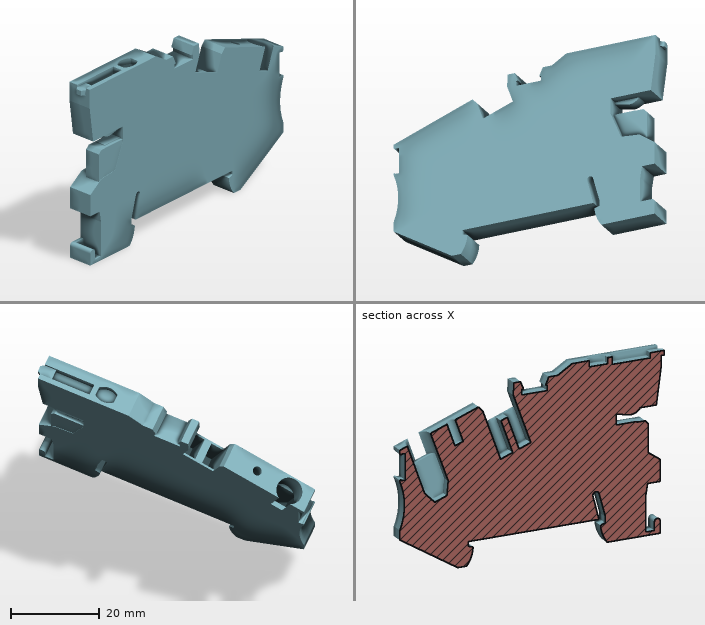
import cadquery as cq
import math


WIDTH = 6.15
LENGTH = 66.2
HEIGHT = 44.8
SLOPE_ANGLE = 20.0

FOOT_FRONT = 0.2
RELEASE_NOTCH_BACK = 3.85
TOE_HEIGHT = 3.8
TOE_RADIUS = 0.8
TOE_POCKET_WALL = 0.9
TOE_POCKET_DEPTH = 2.8
RAIL_SEAT = 5.88
HOOK_TIP = 4.45
HOOK_NECK = 4.85
ARM_BREAK = 40.05
ARM_UNDERSIDE = 31.2
RECESS_BACK = 11.35
RECESS_SILL = 27.43
SHOULDER = 42.55
GROOVE_LIP = 40.5
GROOVE_FLOOR = 39.3
GROOVE_FRONT = 28.95
GROOVE_BACK = 35.3
ENTRY_EDGE = 30.9
ENTRY_END = 46.25
BACK_NOTCH_FLOOR = 64.83
BACK_NOTCH_LOW = 23.5
BACK_NOTCH_HIGH = 29.8
GAP_FOOT_Y = 43.6
GAP_FOOT_Z = 32.8
GAP_LENGTH = 8.03
GAP_BACK_WALL = 4.4
GAP_FRONT_WALL = 4.3

WIRE_HOLE_RADIUS = 3.1
WIRE_HOLE_X = 0.35
WIRE_HOLE_DISTANCE = 5.16
WIRE_HOLE_DEPTH = 5.9
CHANNEL_WIDTH = 3.85
CHANNEL_DEPTH = 13.0
CHANNEL_TAPER_DEPTH = 3.2
CHANNEL_TAPER_INSET = 1.5
TESTER_RADIUS = 1.06
TESTER_DISTANCE = 13.83
POCKET_WIDTH = 5.2
POCKET_DEPTH = 8.7
POCKET_LENGTH = 3.15
POCKET_BRIDGE = 1.82

OVAL_X = 0.43
OVAL_Y = 15.85
OVAL_WIDTH = 3.75
OVAL_LENGTH = 4.6
OVAL_FLAT = 2.0
OVAL_DEPTH = 1.5
SLOT_LEFT = -0.72
SLOT_WIDTH = 2.63
SLOT_LENGTH = 12.3
SLOT_DEPTH = 1.84
PIN_WIDTH = 2.43
PIN_LENGTH = 2.85
PIN_REACH = 0.86
PIN_TIP_WIDTH = 1.31
PIN_DROP = 0.59

BLOCK_LEFT = -0.91
BLOCK_WIDTH = 3.9
BLOCK_FRONT = 3.25
BLOCK_BOTTOM = 19.0
BLOCK_TOP = 27.95
BLOCK_CHAMFER = 0.85
TONGUE_LEFT = -0.74
TONGUE_WIDTH = 2.9
TONGUE_FRONT = 5.3
TONGUE_ROOT_DROP = 0.6
TONGUE_DROP = 1.2
RIDGE_FRONT = 6.2
RIDGE_TOP = 28.12

SIN_SLOPE = math.sin(math.radians(SLOPE_ANGLE))
COS_SLOPE = math.cos(math.radians(SLOPE_ANGLE))


def box(x_min, x_size, y_min, y_max, z_min, z_max):
    size = (x_size, y_max - y_min, z_max - z_min)
    return cq.Workplane("XY").box(*size, centered=False).translate((x_min, y_min, z_min))


def slope_plane(y, z, x=0):
    """Plane parallel to the wire-entry face; its local y runs down the slope."""
    return cq.Workplane(cq.Plane((x, y, z), (1, 0, 0), (0, SIN_SLOPE, COS_SLOPE)))


def entry_plane(distance, x=0):
    """Slope plane centred at a distance from the back edge of the wire-entry face."""
    return slope_plane(LENGTH - distance * COS_SLOPE, ENTRY_EDGE + distance * SIN_SLOPE, x)


def housing():
    gap_top_y = GAP_FOOT_Y - GAP_LENGTH * COS_SLOPE
    gap_top_z = GAP_FOOT_Z + GAP_LENGTH * SIN_SLOPE
    entry_top = ENTRY_EDGE + (LENGTH - ENTRY_END) * math.tan(math.radians(SLOPE_ANGLE))
    outline = (
        cq.Workplane("YZ", origin=(-WIDTH / 2, 0, 0))
        .moveTo(0, HEIGHT)
        .lineTo(0, ARM_BREAK)
        .lineTo(1.18, ARM_UNDERSIDE)
        .lineTo(RECESS_BACK, ARM_UNDERSIDE)
        .lineTo(RECESS_BACK, RECESS_SILL)
        .lineTo(8.7, 21.05)
        .lineTo(4.1, 20.66)
        .lineTo(FOOT_FRONT, 17.95)
        .lineTo(FOOT_FRONT, 12.55)
        .lineTo(3.4, 12.55)
        .lineTo(RELEASE_NOTCH_BACK, 9.8)
        .lineTo(RELEASE_NOTCH_BACK, TOE_HEIGHT)
        .lineTo(FOOT_FRONT + TOE_RADIUS, TOE_HEIGHT)
        .radiusArc((FOOT_FRONT, TOE_HEIGHT - TOE_RADIUS), -TOE_RADIUS)
        .lineTo(FOOT_FRONT, 0)
        .lineTo(13.7, 0)
        .threePointArc((14.9, 2.1), (15.45, HOOK_TIP))
        .lineTo(14.2, HOOK_NECK)
        .lineTo(14.2, 6.35)
        .lineTo(15.8, 12.2)
        .threePointArc((16.55, 12.7), (17.26, 11.9))
        .lineTo(15.7, RAIL_SEAT)
        .lineTo(48.85, RAIL_SEAT)
        .lineTo(48.85, HOOK_NECK)
        .lineTo(47.55, HOOK_TIP)
        .threePointArc((48.05, 2.05), (49.25, 0))
        .lineTo(51.5, 0)
        .lineTo(LENGTH, 9.1)
        .lineTo(LENGTH, 11.5)
        .threePointArc((65.05, 17.3), (LENGTH, 23.2))
        .lineTo(LENGTH, 23.6)
        .lineTo(65.95, 23.75)
        .lineTo(65.7, BACK_NOTCH_LOW)
        .lineTo(BACK_NOTCH_FLOOR, BACK_NOTCH_LOW)
        .lineTo(BACK_NOTCH_FLOOR, BACK_NOTCH_HIGH)
        .lineTo(65.7, BACK_NOTCH_HIGH)
        .lineTo(65.85, 29.6)
        .lineTo(LENGTH, 30.0)
        .lineTo(LENGTH, ENTRY_EDGE)
        .lineTo(ENTRY_END, entry_top)
        .lineTo(GAP_FOOT_Y + GAP_BACK_WALL * SIN_SLOPE, GAP_FOOT_Z + GAP_BACK_WALL * COS_SLOPE)
        .lineTo(GAP_FOOT_Y, GAP_FOOT_Z)
        .lineTo(gap_top_y, gap_top_z)
        .lineTo(gap_top_y + GAP_FRONT_WALL * SIN_SLOPE, gap_top_z + GAP_FRONT_WALL * COS_SLOPE)
        .lineTo(37.35, SHOULDER)
        .lineTo(35.6, SHOULDER)
        .lineTo(34.75, GROOVE_LIP)
        .lineTo(GROOVE_BACK, GROOVE_LIP)
        .lineTo(GROOVE_BACK, GROOVE_FLOOR)
        .lineTo(GROOVE_FRONT, GROOVE_FLOOR)
        .lineTo(GROOVE_FRONT, GROOVE_LIP)
        .lineTo(29.4, GROOVE_LIP)
        .lineTo(28.5, SHOULDER)
        .lineTo(26.2, SHOULDER)
        .lineTo(22.55, HEIGHT)
        .close()
    )
    return outline.extrude(WIDTH)


def wire_entry():
    """Round mouth followed by a rectangular channel with a tapered end."""
    mouth_plane = entry_plane(WIRE_HOLE_DISTANCE, WIRE_HOLE_X)
    mouth = mouth_plane.circle(WIRE_HOLE_RADIUS).extrude(-WIRE_HOLE_DEPTH)
    channel_plane = entry_plane(WIRE_HOLE_DISTANCE).workplane(offset=-WIRE_HOLE_DEPTH)
    channel_length = 2 * WIRE_HOLE_RADIUS
    channel = channel_plane.rect(CHANNEL_WIDTH, channel_length).extrude(WIRE_HOLE_DEPTH - CHANNEL_DEPTH)
    end_length = channel_length - 2 * CHANNEL_TAPER_INSET
    taper = (
        entry_plane(WIRE_HOLE_DISTANCE)
        .workplane(offset=-CHANNEL_DEPTH)
        .rect(CHANNEL_WIDTH, channel_length)
        .workplane(offset=-CHANNEL_TAPER_DEPTH)
        .rect(CHANNEL_WIDTH, end_length)
        .loft(ruled=True)
    )
    return mouth.union(channel).union(taper)


def tester_hole():
    return entry_plane(TESTER_DISTANCE).circle(TESTER_RADIUS).extrude(-WIRE_HOLE_DEPTH)


def gap_pocket(start, end):
    """Pocket in the gap floor between two distances up the slope from the gap foot."""
    floor = slope_plane(GAP_FOOT_Y, GAP_FOOT_Z)
    return floor.center(0, -(start + end) / 2).rect(POCKET_WIDTH, end - start).extrude(-POCKET_DEPTH)


def toe_pocket():
    """Pocket behind the toe ridge, open to +X, that rounds the back of the ridge."""
    ridge_middle = FOOT_FRONT + TOE_RADIUS
    ridge_back = ridge_middle + TOE_RADIUS
    floor = TOE_HEIGHT - TOE_POCKET_DEPTH
    return (
        cq.Workplane("YZ", origin=(TOE_POCKET_WALL - WIDTH / 2, 0, 0))
        .moveTo(ridge_middle, TOE_HEIGHT)
        .radiusArc((ridge_back, TOE_HEIGHT - TOE_RADIUS), TOE_RADIUS)
        .lineTo(ridge_back, floor)
        .lineTo(RELEASE_NOTCH_BACK, floor)
        .lineTo(RELEASE_NOTCH_BACK, TOE_HEIGHT)
        .close()
        .extrude(WIDTH - TOE_POCKET_WALL)
    )


def oval_recess():
    half_flat = OVAL_FLAT / 2
    half_width = OVAL_WIDTH / 2
    half_length = OVAL_LENGTH / 2
    return (
        cq.Workplane("XY", origin=(OVAL_X, OVAL_Y, HEIGHT))
        .moveTo(-half_flat, half_length)
        .lineTo(half_flat, half_length)
        .threePointArc((half_width, 0), (half_flat, -half_length))
        .lineTo(-half_flat, -half_length)
        .threePointArc((-half_width, 0), (-half_flat, half_length))
        .close()
        .extrude(-OVAL_DEPTH)
    )


def marker_slot():
    return box(SLOT_LEFT, SLOT_WIDTH, 0, SLOT_LENGTH, HEIGHT - SLOT_DEPTH, HEIGHT)


def marker_pin():
    """Pin lying on the slot floor, with a tapered tip beyond the front face."""
    half_width = PIN_WIDTH / 2
    half_tip = PIN_TIP_WIDTH / 2
    return (
        cq.Workplane("XY", origin=(SLOT_LEFT + half_width, 0, HEIGHT - SLOT_DEPTH))
        .moveTo(-half_width, PIN_LENGTH)
        .lineTo(half_width, PIN_LENGTH)
        .lineTo(half_width, 0)
        .lineTo(half_tip, -PIN_REACH)
        .lineTo(-half_tip, -PIN_REACH)
        .lineTo(-half_width, 0)
        .close()
        .extrude(SLOT_DEPTH - PIN_DROP)
    )


def recess_block():
    """Block standing in the front recess, with a low ridge on its top."""
    block = box(BLOCK_LEFT, BLOCK_WIDTH, BLOCK_FRONT, RECESS_BACK, BLOCK_BOTTOM, BLOCK_TOP)
    block = block.edges("<Y and >Z").chamfer(BLOCK_CHAMFER)
    ridge = box(TONGUE_LEFT, TONGUE_WIDTH, RIDGE_FRONT, RECESS_BACK, BLOCK_TOP, RIDGE_TOP)
    return block.union(ridge)


def arm_tongue():
    """Curved tongue under the upper arm."""
    return (
        cq.Workplane("YZ", origin=(TONGUE_LEFT, 0, 0))
        .moveTo(RECESS_BACK, ARM_UNDERSIDE)
        .lineTo(RECESS_BACK, ARM_UNDERSIDE - TONGUE_ROOT_DROP)
        .lineTo(8.4, ARM_UNDERSIDE - TONGUE_DROP)
        .threePointArc((6.7, 30.1), (TONGUE_FRONT, ARM_UNDERSIDE))
        .close()
        .extrude(TONGUE_WIDTH)
    )


result = (
    housing()
    .cut(wire_entry())
    .cut(tester_hole())
    .cut(gap_pocket(0, POCKET_LENGTH))
    .cut(gap_pocket(POCKET_LENGTH + POCKET_BRIDGE, GAP_LENGTH))
    .cut(toe_pocket())
    .cut(oval_recess())
    .cut(marker_slot())
    .union(marker_pin())
    .union(recess_block())
    .union(arm_tongue())
)